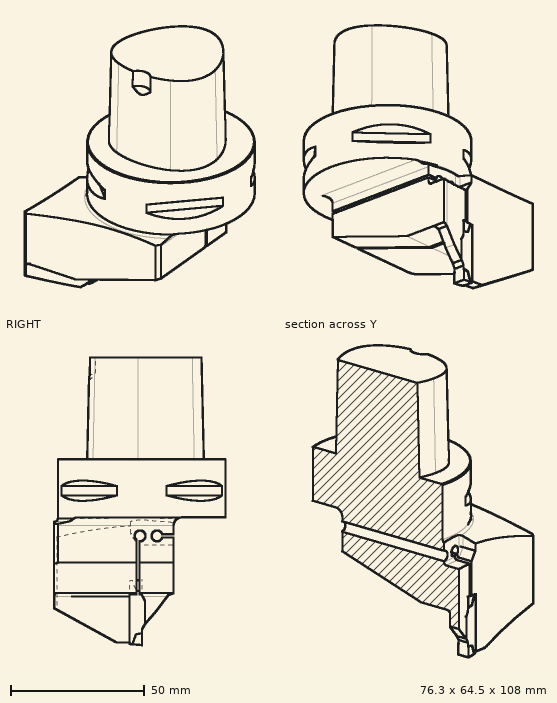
import cadquery as cq
import math


shank_length = 38.0
shank_base_radius = 21.9
shank_taper_per_side = 0.9
lobe_height = 1.4
lobe_count = 3
shank_top_radius = shank_base_radius - shank_taper_per_side

notch_radius = 4.9
notch_depth = 6.5
notch_axis_y = -22.2
notch_tip_depth = 4.3

flange_diameter = 63.0
flange_radius = flange_diameter / 2
flange_height = 22.0
flange_chamfer = 0.3

groove_count = 4
groove_z = -12.0
groove_floor_distance = 27.9
groove_floor_height = 3.5
groove_flare = math.tan(math.radians(30))

block_right_x = 17.0
holder_depth_y = 64.5
block_front_y = flange_radius - holder_depth_y
block_back_y = 12.0
block_fillet = 3.0
right_chamfer = 1.5
left_chamfer_x = 1.5
left_chamfer_y = 1.2

shoulder_radius = 32.4
shoulder_z = -23.5
shoulder_slope = 0.26
shoulder_reach = 64.8
flare_start_z = -22.4
flare_mid_radius = 31.8
flare_mid_z = -23.1

underside_z = -50.4
underside_bend_x = -20.6
underside_right_z = -39.0

blade_outer_x = -38.6
blade_outer_radius = 89.6
blade_outer_center_y = 1.0
blade_inner_x = -34.0
blade_inner_radius = 62.1
blade_root_fillet = 1.3

jaw_z = -69.0
jaw_front_y = -9.4
blade_front_z = -56.0
arm_tip_y = 1.2
arm_tip_z = -62.1
arm_mid_y = 5.4
arm_mid_z = -57.2
arm_back_y = 9.9
arm_back_z = -51.2
arm_corner_x = -39.4

relief_wall_x = -31.6
relief_floor_z = -32.4
relief_front_y = -4.2
relief_slant_z = -28.2
relief_slant_end_y = -1.5
relief_fillet = 1.1

slot_width = 1.1
slot_y = -1.4
hinge_hole_diameter = 4.0
hinge_hole_z = -28.9
hinge_front_y = -0.6
hinge_back_y = 5.7

insert_bottom_z = -70.0
insert_top_z = -45.4
insert_mid_z = (insert_bottom_z + insert_top_z) / 2
insert_half_length = (insert_top_z - insert_bottom_z) / 2
insert_rake_y = 0.1
insert_back_y = -4.5
insert_end_clearance = 0.4
insert_ridge_y = 1.2
ridge_half_length = 4.4
ridge_foot_half_length = 6.4
insert_inner_x = -33.8
insert_head_width = 5.0
insert_body_relief = 0.2
head_length = 4.5
head_short_length = 4.1
head_mid_y = -2.2
head_base_y = -3.7

clear = 108.0
overrun = 1.1


def box(x0, x1, y0, y1, z0, z1):
    return cq.Workplane("XY").box(x1 - x0, y1 - y0, z1 - z0, centered=False).translate((x0, y0, z0))


def yz_prism(points, x0, x1):
    """Extrude a YZ outline along X from x0 to x1."""
    return cq.Workplane("YZ", origin=(x0, 0, 0)).polyline(points).close().extrude(x1 - x0)


def lobe_point(radius, z, angle):
    x = lobe_height * math.sin(2 * angle) - radius * math.sin(angle)
    y = lobe_height * math.cos(2 * angle) + radius * math.cos(angle)
    return cq.Vector(x, y, z)


def lobe_tangent(radius, angle):
    dx = 2 * lobe_height * math.cos(2 * angle) - radius * math.cos(angle)
    dy = -2 * lobe_height * math.sin(2 * angle) - radius * math.sin(angle)
    return cq.Vector(dx, dy, 0)


def lobe_wire(radius, z):
    """Closed three-lobed outline, split where lobes and flanks meet."""
    arc_count = 2 * lobe_count
    step = 2 * math.pi / arc_count
    points_per_arc = 7
    edges = []
    for i in range(arc_count):
        start = (i - 0.5) * step
        angles = [start + step * k / (points_per_arc - 1) for k in range(points_per_arc)]
        points = [lobe_point(radius, z, a) for a in angles]
        ends = [lobe_tangent(radius, angles[0]), lobe_tangent(radius, angles[-1])]
        edges.append(cq.Edge.makeSpline(points, tangents=ends))
    return cq.Wire.assembleEdges(edges)


def make_shank():
    base = lobe_wire(shank_base_radius, 0)
    top = lobe_wire(shank_top_radius, shank_length)
    shank = cq.Workplane(cq.Solid.makeLoft([base, top], True))
    notch_profile = [
        (0, shank_length + overrun),
        (notch_radius, shank_length + overrun),
        (notch_radius, shank_length - notch_depth),
        (0, shank_length - notch_depth - notch_tip_depth),
    ]
    notch = cq.Workplane("XZ").polyline(notch_profile).close().revolve(360, (0, 0), (0, 1))
    return shank.cut(notch.translate((0, notch_axis_y, 0)))


def make_envelope():
    """Flange cylinder flaring out into the conical shoulder, solid to the bottom."""
    shoulder_drop = (shoulder_reach - shoulder_radius) * shoulder_slope
    flare_mid = (flare_mid_radius, flare_mid_z)
    return (
        cq.Workplane("XZ")
        .moveTo(0, 0)
        .lineTo(flange_radius - flange_chamfer, 0)
        .lineTo(flange_radius, -flange_chamfer)
        .lineTo(flange_radius, flare_start_z)
        .threePointArc(flare_mid, (shoulder_radius, shoulder_z))
        .lineTo(shoulder_reach, shoulder_z - shoulder_drop)
        .lineTo(shoulder_reach, jaw_z)
        .lineTo(0, jaw_z)
        .close()
        .revolve(360, (0, 0), (0, 1))
    )


def make_stepped_blank():
    """Plate at flange height with the filleted block walls hanging below it."""
    plate = box(-clear, clear, -clear, clear, -flange_height, 0)
    block = box(-clear, block_right_x, -clear, block_back_y, jaw_z, -flange_height)
    margin = 0.1
    corner = cq.selectors.BoxSelector(
        (-clear - margin, -clear - margin, -flange_height - margin),
        (block_right_x + margin, block_back_y + margin, -flange_height + margin),
        boundingbox=True,
    )
    return plate.union(block).edges(corner).fillet(block_fillet)


def outer_face_x(y):
    """X of the concave outer blade face at a given Y."""
    rise = math.sqrt(blade_outer_radius ** 2 - (y - blade_outer_center_y) ** 2)
    return blade_outer_x - blade_outer_radius + rise


def blade_clearance():
    """Space beyond the concave outer face, ending in a flat at the back of the arm."""
    front = (outer_face_x(2 * block_front_y), 2 * block_front_y)
    middle = (blade_outer_x, blade_outer_center_y)
    back = (outer_face_x(arm_back_y), arm_back_y)
    return (
        cq.Workplane("XY", origin=(0, 0, -clear))
        .moveTo(*front)
        .threePointArc(middle, back)
        .lineTo(arm_corner_x, block_back_y)
        .lineTo(arm_corner_x, clear)
        .lineTo(-clear, clear)
        .lineTo(-clear, front[1])
        .close()
        .extrude(clear)
    )


def corner_cutter(side_x, side_y, front_x):
    """Chamfer prism through a side point and a front point, running past both."""
    run_x = side_x - front_x
    run_y = side_y - block_front_y
    triangle = [
        (side_x + run_x, side_y + run_y),
        (front_x - run_x, block_front_y - run_y),
        (side_x + run_x, block_front_y - run_y),
    ]
    return cq.Workplane("XY", origin=(0, 0, -clear)).polyline(triangle).close().extrude(clear)


def front_chamfers():
    left_y = block_front_y + left_chamfer_y
    left_x = outer_face_x(left_y)
    left = corner_cutter(left_x, left_y, left_x + left_chamfer_x)
    right = corner_cutter(block_right_x, block_front_y + right_chamfer, block_right_x - right_chamfer)
    return left.union(right)


def below_block():
    """Everything under the block except the curved blade."""
    slope = (underside_right_z - underside_z) / (block_right_x - underside_bend_x)
    profile = [
        (-clear, underside_z),
        (underside_bend_x, underside_z),
        (clear, underside_z + slope * (clear - underside_bend_x)),
        (clear, -clear),
        (-clear, -clear),
    ]
    space = cq.Workplane("XZ", origin=(0, clear, 0)).polyline(profile).close().extrude(2 * clear)
    blade_center_x = blade_inner_x - blade_inner_radius
    blade = cq.Workplane("XY", origin=(blade_center_x, 0, -clear)).circle(blade_inner_radius).extrude(clear)
    margin = 0.1
    root = cq.selectors.BoxSelector(
        (-clear, -clear, underside_z - margin),
        (blade_inner_x + margin, clear, underside_z + margin),
    )
    return space.cut(blade).edges(root).fillet(blade_root_fillet)


def below_blade():
    slope = (blade_front_z - jaw_z) / (block_front_y - jaw_front_y)
    outline = [
        (-clear, jaw_z + slope * (-clear - jaw_front_y)),
        (jaw_front_y, jaw_z),
        (insert_rake_y, jaw_z),
        (insert_rake_y, insert_mid_z - ridge_foot_half_length),
        (arm_tip_y, arm_tip_z),
        (arm_mid_y, arm_mid_z),
        (arm_back_y, arm_back_z),
        (block_back_y, underside_z),
        (clear, underside_z),
        (clear, -clear),
        (-clear, -clear),
    ]
    return yz_prism(outline, -clear, blade_inner_x + overrun)


def arm_relief():
    outline = [
        (clear, -flange_height),
        (relief_front_y, -flange_height),
        (relief_front_y, relief_slant_z),
        (relief_slant_end_y, relief_floor_z),
        (clear, relief_floor_z),
    ]
    return yz_prism(outline, -clear, relief_wall_x).faces(">X").edges().fillet(relief_fillet)


def hinge_cuts():
    holes = (
        cq.Workplane("YZ", origin=(-clear, 0, 0))
        .pushPoints([(hinge_front_y, hinge_hole_z), (hinge_back_y, hinge_hole_z)])
        .circle(hinge_hole_diameter / 2)
        .extrude(2 * clear)
    )
    half = slot_width / 2
    down_slot = box(-clear, clear, slot_y - half, slot_y + half, -clear, hinge_hole_z)
    back_slot = box(-clear, clear, hinge_back_y, clear, hinge_hole_z - half, hinge_hole_z + half)
    return holes.union(down_slot).union(back_slot)


def gripper_groove(angle):
    depth = flange_radius + overrun - groove_floor_distance
    floor_half = groove_floor_height / 2
    mouth_half = floor_half + depth * groove_flare
    profile = [
        (groove_floor_distance, groove_z - floor_half),
        (groove_floor_distance + depth, groove_z - mouth_half),
        (groove_floor_distance + depth, groove_z + mouth_half),
        (groove_floor_distance, groove_z + floor_half),
    ]
    sketch = cq.Workplane("XZ", origin=(0, flange_radius, 0)).polyline(profile).close()
    return sketch.extrude(flange_diameter).rotate((0, 0, 0), (0, 0, 1), angle)


def insert_side_outline():
    """YZ outline of the insert, mirrored about its middle height."""
    lower_half = [
        (insert_back_y, insert_half_length - insert_end_clearance),
        (insert_rake_y, insert_half_length),
        (insert_rake_y, ridge_foot_half_length),
        (insert_ridge_y, ridge_half_length),
    ]
    lower = [(y, insert_mid_z - offset) for y, offset in lower_half]
    upper = [(y, insert_mid_z + offset) for y, offset in reversed(lower_half)]
    return lower + upper


def make_insert():
    """Slim insert body with a slightly wider cutting head at each end."""
    side = insert_side_outline()
    insert_outer_x = insert_inner_x - insert_head_width
    insert = yz_prism(side, insert_outer_x + insert_body_relief, insert_inner_x - insert_body_relief)
    full_width = yz_prism(side, insert_outer_x, insert_inner_x)
    for end in (-1, 1):
        tip_z = insert_mid_z + end * insert_half_length
        head = [
            (insert_rake_y, tip_z - end * head_length),
            (head_mid_y, tip_z - end * head_short_length),
            (head_base_y, tip_z),
            (insert_rake_y, tip_z),
        ]
        insert = insert.union(yz_prism(head, insert_outer_x, insert_inner_x).intersect(full_width))
    return insert


def insert_seat():
    """Seat for the insert, open through the outer blade face."""
    return yz_prism(insert_side_outline(), -clear, insert_inner_x)


def make_holder():
    holder = make_envelope().intersect(make_stepped_blank())
    holder = holder.cut(blade_clearance())
    holder = holder.cut(box(-clear, clear, -clear, block_front_y, -clear, 0))
    holder = holder.cut(front_chamfers())
    holder = holder.cut(below_block()).cut(below_blade())
    holder = holder.cut(arm_relief()).cut(hinge_cuts()).cut(insert_seat())
    for i in range(groove_count):
        holder = holder.cut(gripper_groove((i + 0.5) * 360 / groove_count))
    return holder.union(make_shank())


holder = make_holder()
insert = make_insert()
result = cq.Compound.makeCompound([holder.val(), insert.val()])